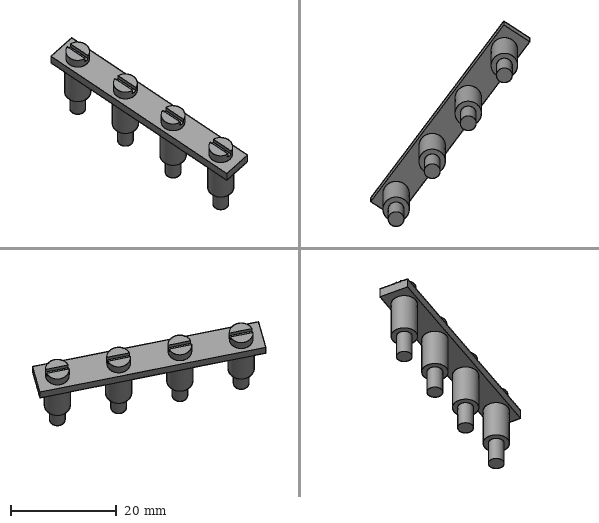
import cadquery as cq

bar_length = 43.9
bar_width = 6.0
bar_thickness = 2.0

screw_count = 4
screw_pitch = 11.9
screw_positions = [(i - (screw_count - 1) / 2) * screw_pitch for i in range(screw_count)]

head_diameter = 4.5
head_height = 2.0
slot_width = 0.9
slot_depth = 0.9
shank_diameter = 3.0
tip_length = 5.0

sleeve_diameter = 5.0
sleeve_length = 8.0

bar_top = bar_thickness
head_top = bar_top + head_height
sleeve_bottom = -sleeve_length
shank_bottom = sleeve_bottom - tip_length


def cylinder(x, diameter, bottom, top):
    """Upright cylinder on the screw row."""
    return cq.Workplane("XY", origin=(x, 0, bottom)).circle(diameter / 2).extrude(top - bottom)


def make_bar():
    """Flat bar with a clearance-free hole for each shank."""
    bar = cq.Workplane("XY").box(bar_length, bar_width, bar_thickness, centered=(True, True, False))
    for x in screw_positions:
        bar = bar.cut(cylinder(x, shank_diameter, 0, bar_top))
    return bar


def make_screw(x):
    """Cheese-head screw with its driver slot running along X."""
    shank = cylinder(x, shank_diameter, shank_bottom, bar_top)
    head = cylinder(x, head_diameter, bar_top, head_top)
    slot = cq.Workplane("XY", origin=(x, 0, head_top - slot_depth)).box(
        head_diameter, slot_width, slot_depth, centered=(True, True, False)
    )
    return shank.union(head).cut(slot)


def make_sleeve(x):
    """Plain tube around the shank, standing against the underside of the bar."""
    tube = cylinder(x, sleeve_diameter, sleeve_bottom, 0)
    return tube.cut(cylinder(x, shank_diameter, sleeve_bottom, 0))


bar = make_bar()
screws = [make_screw(x) for x in screw_positions]
sleeves = [make_sleeve(x) for x in screw_positions]

result = cq.Compound.makeCompound(
    [bar.val()] + [screw.val() for screw in screws] + [sleeve.val() for sleeve in sleeves]
)